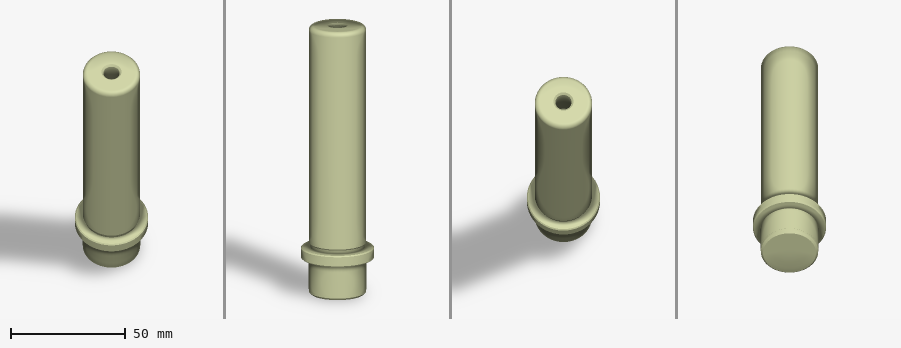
import cadquery as cq
import math

total_length = 121.0
shaft_diameter = 25.0
shaft_radius = shaft_diameter / 2
tip_round = 2.0

flange_radius = 16.0
flange_bottom = 16.0
flange_top = 21.0
flange_edge_chamfer = 0.5

spigot_radius = 12.6
lead_in_radius = shaft_radius
lead_in_height = 2.0
spigot_top = 15.0
lead_in_chamfer = 1.0

groove_radius = 11.9
shaft_groove_top = 23.1
shaft_groove_taper = shaft_radius - groove_radius
spigot_groove_taper = spigot_radius - groove_radius

hole_radius = 3.5
countersink_radius = 4.4
hole_depth = 15.0
drill_point_angle = 118.0


def turned_body():
    """Revolve the stepped outer outline about Z."""
    round_offset = tip_round * math.sqrt(0.5)
    round_center_radius = shaft_radius - tip_round
    round_center_height = total_length - tip_round
    profile = (
        cq.Workplane("XZ")
        .moveTo(0, 0)
        .lineTo(lead_in_radius - lead_in_chamfer, 0)
        .lineTo(lead_in_radius, lead_in_chamfer)
        .lineTo(lead_in_radius, lead_in_height)
        .lineTo(spigot_radius, lead_in_height)
        .lineTo(spigot_radius, spigot_top)
        .lineTo(groove_radius, spigot_top + spigot_groove_taper)
        .lineTo(groove_radius, flange_bottom)
        .lineTo(flange_radius - flange_edge_chamfer, flange_bottom)
        .lineTo(flange_radius, flange_bottom + flange_edge_chamfer)
        .lineTo(flange_radius, flange_top - flange_edge_chamfer)
        .lineTo(flange_radius - flange_edge_chamfer, flange_top)
        .lineTo(groove_radius, flange_top)
        .lineTo(groove_radius, shaft_groove_top - shaft_groove_taper)
        .lineTo(shaft_radius, shaft_groove_top)
        .lineTo(shaft_radius, round_center_height)
        .threePointArc(
            (round_center_radius + round_offset, round_center_height + round_offset),
            (round_center_radius, total_length),
        )
        .lineTo(0, total_length)
        .close()
    )
    return profile.revolve(360, (0, 0), (0, 1))


def end_hole():
    """Drilled hole with a 45 degree countersink and a conical bottom."""
    countersink_depth = countersink_radius - hole_radius
    point_depth = hole_radius / math.tan(math.radians(drill_point_angle / 2))
    hole_bottom = total_length - hole_depth
    profile = (
        cq.Workplane("XZ")
        .moveTo(0, total_length)
        .lineTo(countersink_radius, total_length)
        .lineTo(hole_radius, total_length - countersink_depth)
        .lineTo(hole_radius, hole_bottom)
        .lineTo(0, hole_bottom - point_depth)
        .close()
    )
    return profile.revolve(360, (0, 0), (0, 1))


result = turned_body().cut(end_hole())